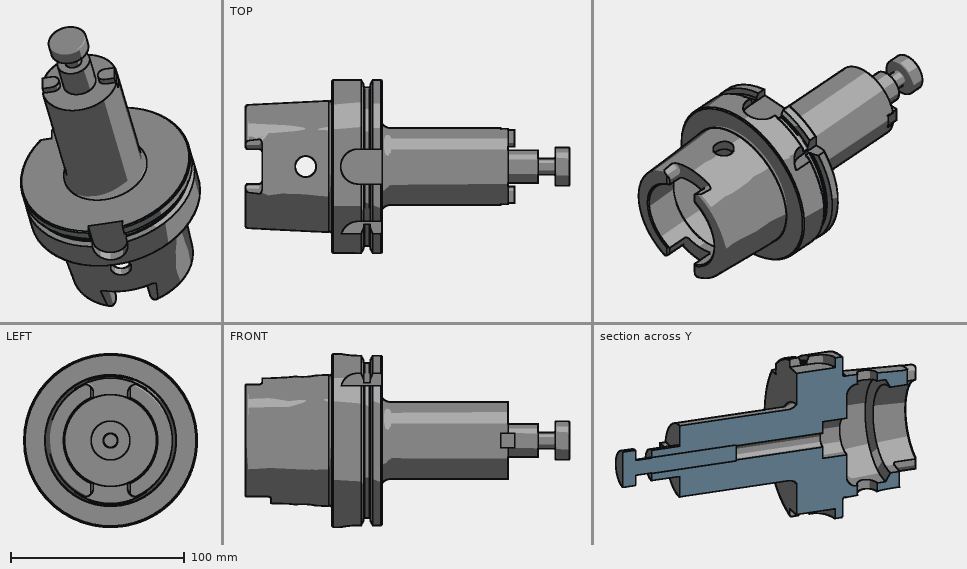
import cadquery as cq
import math

OVERALL_LENGTH = 187.0

TAPER_END_X = 48.3
TAPER_END_RADIUS = 38.0
TAPER_RATIO = 0.05
TAPER_TIP_FILLET = 1.9
RELIEF_RADIUS = 37.6
RELIEF_FILLET = 1.5

BORE_DIAMETER = 53.0
BORE_MOUTH_CHAMFER = 0.7
BORE_LIP_END_X = 20.5
CHAMBER_DIAMETER = 63.0
CHAMBER_CONE_ANGLE = 60.0
CHAMBER_WALL_END_X = 41.0
CHAMBER_FLOOR_FILLET = 6.5
COOLANT_BORE_DIAMETER = 22.5
COOLANT_BORE_DEPTH = 15.0
COOLANT_HOLE_DIAMETER = 8.5
CROSS_HOLE_DIAMETER = 12.0
CROSS_HOLE_X = 34.8

DRIVE_SLOTS = [(1, 9.7), (-1, 14.8)]
DRIVE_SLOT_WIDTH = 19.8
DRIVE_SLOT_FLARE_RADIUS = 4.9
DRIVE_SLOT_FLARE_Z = 27.5
DRIVE_SLOT_FLOOR_FILLET = 1.7
DRIVE_SLOT_CHAMFER_WIDTH = 1.5
DRIVE_SLOT_CHAMFER_DEPTH = 1.0

FLANGE_DIAMETER = 100.0
FLANGE_START_X = 50.0
FLANGE_END_X = 79.0
FLANGE_CHAMFER = 0.7
GROOVE_DIAMETER = 91.7
GROOVE_CENTRE_X = 70.1
GROOVE_MOUTH_WIDTH = 6.7
GROOVE_WIDTH = 3.7
GROOVE_MOUTH_BASE_DIAMETER = 94.6
GROOVE_FILLET = 0.5

NOTCH_WIDTH = 20.2
NOTCH_ARC_X = 65.0
NOTCH_FLOOR_Z = 44.0
CORNER_NOTCH_OFFSET = 31.6

ARBOR_DIAMETER = 44.5
ARBOR_END_X = 151.5
ARBOR_FILLET = 6.7
ARBOR_FILLET_LENGTH = 5.0
PILOT_DIAMETER = 19.0
PILOT_END_X = 168.9

KEY_WIDTH = 8.5
KEY_START_X = 147.4
KEY_LENGTH = 7.9
KEY_INNER_Y = 11.5
KEY_OUTER_Y = 21.1

SCREW_DIAMETER = 9.5
SCREW_TIP_X = 116.0
SCREW_TIP_DIAMETER = 7.9
SCREW_HEAD_DIAMETER = 22.3
SCREW_HEAD_START_X = 178.6
SCREW_HEAD_FILLET = 1.0
SCREW_NECK_FILLET = 0.5


def cylinder(diameter, start_x, end_x):
    """Round bar about the X axis."""
    return cq.Workplane("YZ", origin=(start_x, 0, 0)).circle(diameter / 2).extrude(end_x - start_x)


def revolve_about_x(outline):
    return outline.close().revolve(360, (0, 0, 0), (1, 0, 0))


def make_turned_body():
    """Outside of the holder as one turned profile."""
    tip_radius = TAPER_END_RADIUS - TAPER_RATIO * TAPER_END_X
    flange_radius = FLANGE_DIAMETER / 2
    arbor_radius = ARBOR_DIAMETER / 2
    fillet_end_x = FLANGE_END_X + ARBOR_FILLET_LENGTH
    half_angle = math.asin(ARBOR_FILLET_LENGTH / ARBOR_FILLET) / 2

    def fillet_point(angle):
        return (
            fillet_end_x - ARBOR_FILLET * math.sin(angle),
            arbor_radius + ARBOR_FILLET * (1 - math.cos(angle)),
        )

    outline = (
        cq.Workplane("XY")
        .moveTo(0, 0)
        .lineTo(0, tip_radius)
        .lineTo(TAPER_END_X, TAPER_END_RADIUS)
        .lineTo(TAPER_END_X, RELIEF_RADIUS)
        .lineTo(FLANGE_START_X - RELIEF_FILLET, RELIEF_RADIUS)
        .radiusArc((FLANGE_START_X, RELIEF_RADIUS + RELIEF_FILLET), -RELIEF_FILLET)
        .lineTo(FLANGE_START_X, flange_radius - FLANGE_CHAMFER)
        .lineTo(FLANGE_START_X + FLANGE_CHAMFER, flange_radius)
        .lineTo(FLANGE_END_X - FLANGE_CHAMFER, flange_radius)
        .lineTo(FLANGE_END_X, flange_radius - FLANGE_CHAMFER)
        .lineTo(*fillet_point(2 * half_angle))
        .threePointArc(fillet_point(half_angle), fillet_point(0))
        .lineTo(ARBOR_END_X, arbor_radius)
        .lineTo(ARBOR_END_X, PILOT_DIAMETER / 2)
        .lineTo(PILOT_END_X, PILOT_DIAMETER / 2)
        .lineTo(PILOT_END_X, 0)
    )
    return revolve_about_x(outline).faces("<X").edges().fillet(TAPER_TIP_FILLET)


def make_gripper_groove():
    """Ring with straight walls and rounded floor corners, widening to a sloping mouth."""
    floor_radius = GROOVE_DIAMETER / 2
    base_radius = GROOVE_MOUTH_BASE_DIAMETER / 2
    mouth_radius = FLANGE_DIAMETER / 2
    left_x = GROOVE_CENTRE_X - GROOVE_WIDTH / 2
    right_x = GROOVE_CENTRE_X + GROOVE_WIDTH / 2
    return revolve_about_x(
        cq.Workplane("XY")
        .moveTo(left_x + GROOVE_FILLET, floor_radius)
        .lineTo(right_x - GROOVE_FILLET, floor_radius)
        .radiusArc((right_x, floor_radius + GROOVE_FILLET), -GROOVE_FILLET)
        .lineTo(right_x, base_radius)
        .lineTo(GROOVE_CENTRE_X + GROOVE_MOUTH_WIDTH / 2, mouth_radius)
        .lineTo(GROOVE_CENTRE_X - GROOVE_MOUTH_WIDTH / 2, mouth_radius)
        .lineTo(left_x, base_radius)
        .lineTo(left_x, floor_radius + GROOVE_FILLET)
        .radiusArc((left_x + GROOVE_FILLET, floor_radius), -GROOVE_FILLET)
    )


def make_hollow():
    """Main bore and clamping chamber of the taper shank with the coolant bore behind them."""
    bore_radius = BORE_DIAMETER / 2
    chamber_radius = CHAMBER_DIAMETER / 2
    cone_length = (chamber_radius - bore_radius) / math.tan(math.radians(CHAMBER_CONE_ANGLE))
    floor_x = CHAMBER_WALL_END_X + CHAMBER_FLOOR_FILLET
    bore = revolve_about_x(
        cq.Workplane("XY")
        .moveTo(0, 0)
        .lineTo(0, bore_radius + BORE_MOUTH_CHAMFER)
        .lineTo(BORE_MOUTH_CHAMFER, bore_radius)
        .lineTo(BORE_LIP_END_X, bore_radius)
        .lineTo(BORE_LIP_END_X + cone_length, chamber_radius)
        .lineTo(CHAMBER_WALL_END_X, chamber_radius)
        .radiusArc((floor_x, chamber_radius - CHAMBER_FLOOR_FILLET), CHAMBER_FLOOR_FILLET)
        .lineTo(floor_x, 0)
    )
    coolant_end_x = floor_x + COOLANT_BORE_DEPTH
    coolant_bore = cylinder(COOLANT_BORE_DIAMETER, floor_x, coolant_end_x)
    coolant_hole = cylinder(COOLANT_HOLE_DIAMETER, coolant_end_x, SCREW_TIP_X)
    return bore.union(coolant_bore).union(coolant_hole)


def make_drive_slot(side, depth):
    """Slot across one wall of the taper shank, flaring outward near the rim."""
    half_width = DRIVE_SLOT_WIDTH / 2
    flare_y = half_width + DRIVE_SLOT_FLARE_RADIUS
    flare_top_z = DRIVE_SLOT_FLARE_Z + DRIVE_SLOT_FLARE_RADIUS
    flare_mid_y = flare_y - DRIVE_SLOT_FLARE_RADIUS * math.sqrt(0.5)
    flare_mid_z = DRIVE_SLOT_FLARE_Z + DRIVE_SLOT_FLARE_RADIUS * math.sqrt(0.5)
    rim = TAPER_END_RADIUS
    slot = (
        cq.Workplane("YZ")
        .moveTo(-half_width, 0)
        .lineTo(half_width, 0)
        .lineTo(half_width, DRIVE_SLOT_FLARE_Z)
        .threePointArc((flare_mid_y, flare_mid_z), (flare_y, flare_top_z))
        .lineTo(rim, flare_top_z)
        .lineTo(rim, rim)
        .lineTo(-rim, rim)
        .lineTo(-rim, flare_top_z)
        .lineTo(-flare_y, flare_top_z)
        .threePointArc((-flare_mid_y, flare_mid_z), (-half_width, DRIVE_SLOT_FLARE_Z))
        .close()
        .extrude(depth)
    )
    walls = cq.selectors.BoxSelector(
        (depth - 0.2, -flare_y + 0.2, 1.9), (depth + 0.2, flare_y - 0.2, flare_top_z - 0.2)
    )
    slot = slot.edges(walls).fillet(DRIVE_SLOT_FLOOR_FILLET)
    mouth_half_width = half_width + DRIVE_SLOT_CHAMFER_WIDTH
    mouth_chamfer = (
        cq.Workplane("XY")
        .polyline([
            (0, mouth_half_width),
            (DRIVE_SLOT_CHAMFER_DEPTH, half_width),
            (DRIVE_SLOT_CHAMFER_DEPTH, -half_width),
            (0, -mouth_half_width),
        ])
        .close()
        .extrude(rim)
    )
    slot = slot.union(mouth_chamfer)
    return slot if side > 0 else slot.mirror("XY")


def make_round_ended_notch():
    """Notch cutter standing on z = 0, centred on y = 0, open toward +X."""
    end_x = FLANGE_END_X
    radius = NOTCH_WIDTH / 2
    return (
        cq.Workplane("XY")
        .moveTo(NOTCH_ARC_X, -radius)
        .lineTo(end_x, -radius)
        .lineTo(end_x, radius)
        .lineTo(NOTCH_ARC_X, radius)
        .threePointArc((NOTCH_ARC_X - radius, 0), (NOTCH_ARC_X, -radius))
        .close()
        .extrude(FLANGE_DIAMETER / 2)
    )


def make_flange_notches():
    """Two opposite notches in the rim and one corner notch between them."""
    notch = make_round_ended_notch()
    top_notch = notch.translate((0, 0, NOTCH_FLOOR_Z))
    corner_y = -CORNER_NOTCH_OFFSET - NOTCH_WIDTH / 2
    corner_notch = notch.translate((0, corner_y, CORNER_NOTCH_OFFSET))
    return [top_notch, top_notch.mirror("XY"), corner_notch]


def make_key_blank(outer_y):
    """Key lying along +Y, with a full-round inner end."""
    radius = KEY_WIDTH / 2
    round_y = KEY_INNER_Y + radius
    return (
        cq.Workplane("YZ", origin=(KEY_START_X, 0, 0))
        .moveTo(round_y, -radius)
        .lineTo(outer_y, -radius)
        .lineTo(outer_y, radius)
        .lineTo(round_y, radius)
        .threePointArc((KEY_INNER_Y, 0), (round_y, -radius))
        .close()
        .extrude(KEY_LENGTH)
    )


def make_keys():
    key = make_key_blank(KEY_OUTER_Y)
    return [key.rotate((0, 0, 0), (1, 0, 0), angle) for angle in (0, 180)]


def make_holder():
    holder = make_turned_body().cut(make_gripper_groove()).cut(make_hollow())
    for side, depth in DRIVE_SLOTS:
        holder = holder.cut(make_drive_slot(side, depth))
    cross_hole = (
        cq.Workplane("XY")
        .center(CROSS_HOLE_X, 0)
        .circle(CROSS_HOLE_DIAMETER / 2)
        .extrude(FLANGE_DIAMETER, both=True)
    )
    holder = holder.cut(cross_hole)
    for notch in make_flange_notches():
        holder = holder.cut(notch)
    key_seat = make_key_blank(ARBOR_DIAMETER / 2)
    for angle in (0, 180):
        holder = holder.cut(key_seat.rotate((0, 0, 0), (1, 0, 0), angle))
    return holder.cut(make_screw())


def make_screw():
    """Headed screw on the axis with a chamfered tip and a rounded neck below the head."""
    shank_radius = SCREW_DIAMETER / 2
    tip_radius = SCREW_TIP_DIAMETER / 2
    head_radius = SCREW_HEAD_DIAMETER / 2
    rounding = SCREW_HEAD_FILLET
    return revolve_about_x(
        cq.Workplane("XY")
        .moveTo(SCREW_TIP_X, 0)
        .lineTo(SCREW_TIP_X, tip_radius)
        .lineTo(SCREW_TIP_X + shank_radius - tip_radius, shank_radius)
        .lineTo(SCREW_HEAD_START_X - SCREW_NECK_FILLET, shank_radius)
        .radiusArc((SCREW_HEAD_START_X, shank_radius + SCREW_NECK_FILLET), -SCREW_NECK_FILLET)
        .lineTo(SCREW_HEAD_START_X, head_radius - rounding)
        .radiusArc((SCREW_HEAD_START_X + rounding, head_radius), rounding)
        .lineTo(OVERALL_LENGTH - rounding, head_radius)
        .radiusArc((OVERALL_LENGTH, head_radius - rounding), rounding)
        .lineTo(OVERALL_LENGTH, 0)
    )


holder = make_holder()
keys = make_keys()
screw = make_screw()

result = cq.Compound.makeCompound([holder.val(), *[key.val() for key in keys], screw.val()])